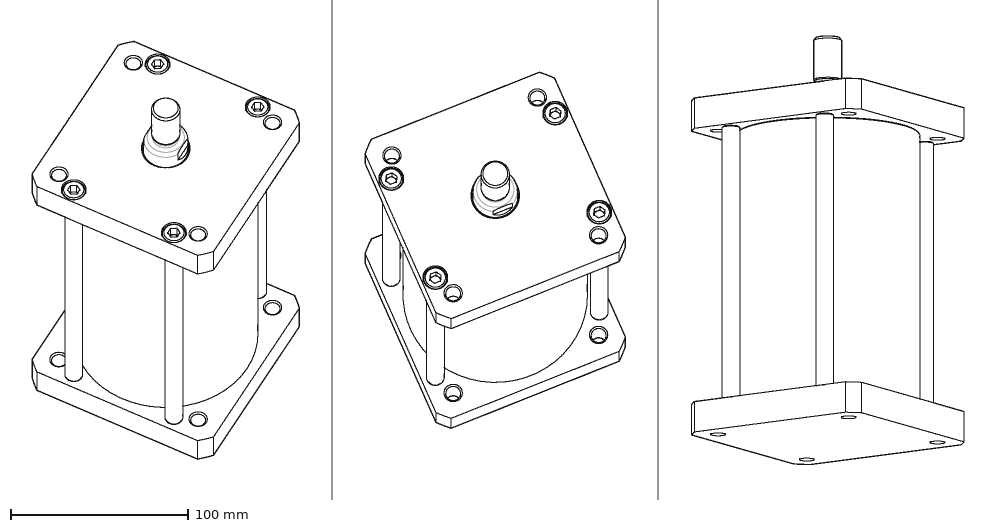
import cadquery as cq
import math

TOTAL_HEIGHT = 230.0

PLATE_WIDTH = 116.0
PLATE_THICKNESS = 17.5
PLATE_CORNER_DIAMETER = 155.0
UPPER_PLATE_TOP = 192.0
UPPER_PLATE_BOTTOM = UPPER_PLATE_TOP - PLATE_THICKNESS

MOUNT_PITCH = 89.0
MOUNT_MOUTH_DIAMETER = 10.3
MOUNT_CORE_DIAMETER = 8.38

BARREL_DIAMETER = 104.0
BARREL_TOP_CHAMFER = 0.5

TIE_PITCH_X = 64.0
TIE_PITCH_Y = 100.3
TIE_DIAMETER = 10.11
TIE_END_CHAMFER = 0.6
TIE_SHANK_DIAMETER = TIE_DIAMETER - 2 * TIE_END_CHAMFER
HEAD_DIAMETER = 13.0
HEAD_HEIGHT = 8.0
HEAD_CHAMFER = 0.8
COUNTERBORE_DIAMETER = 14.0
SOCKET_ACROSS_FLATS = 6.0
SOCKET_DEPTH = 6.0
SOCKET_POINT_HEIGHT = 1.7

COLLAR_DIAMETER = 25.0
COLLAR_TOP = UPPER_PLATE_TOP + 10.2
COLLAR_FILLET = 2.0
FLATS_WIDTH = 22.0
FLATS_BOTTOM = UPPER_PLATE_TOP + 3.0
THREAD_DIAMETER = 16.0
THREAD_TIP_DIAMETER = 14.0
TIP_CHAMFER_HEIGHT = 1.5
THREAD_BOTTOM = UPPER_PLATE_TOP + 14.0
NECK_DIAMETER = 13.2
NECK_FILLET = 0.8

BORE_DIAMETER = 25.6
BORE_RECESS_DIAMETER = 26.9
BORE_RECESS_DEPTH = 1.0
BORE_MOUTH_DIAMETER = 27.4

MOUNT_POINTS = [(sx * MOUNT_PITCH / 2, sy * MOUNT_PITCH / 2) for sx in (-1, 1) for sy in (-1, 1)]
TIE_POINTS = [(sx * TIE_PITCH_X / 2, sy * TIE_PITCH_Y / 2) for sx in (-1, 1) for sy in (-1, 1)]


def cylinder(diameter, bottom, top, center=(0, 0)):
    """Upright cylinder between two heights."""
    return cq.Workplane("XY", origin=(*center, bottom)).circle(diameter / 2).extrude(top - bottom)


def mouth_cone(mouth_diameter, core_diameter, top, center=(0, 0)):
    """45 degree countersink that opens upward at the given height."""
    depth = (mouth_diameter - core_diameter) / 2
    cone = cq.Solid.makeCone(core_diameter / 2, mouth_diameter / 2, depth)
    return cq.Workplane(cone.translate(cq.Vector(*center, top - depth)))


def plate(bottom):
    """Square end plate with turned corners and countersunk mounting holes."""
    top = bottom + PLATE_THICKNESS
    body = cq.Workplane("XY", origin=(0, 0, bottom)).rect(PLATE_WIDTH, PLATE_WIDTH).extrude(PLATE_THICKNESS)
    body = body.intersect(cylinder(PLATE_CORNER_DIAMETER, bottom, top))
    for point in MOUNT_POINTS:
        body = body.cut(cylinder(MOUNT_CORE_DIAMETER, bottom, top, point))
        body = body.cut(mouth_cone(MOUNT_MOUTH_DIAMETER, MOUNT_CORE_DIAMETER, top, point))
    return body


def make_upper_plate():
    """Rod-side plate with the recessed rod bore and the counterbored tie rod holes."""
    body = plate(UPPER_PLATE_BOTTOM)
    body = body.cut(cylinder(BORE_DIAMETER, UPPER_PLATE_BOTTOM, UPPER_PLATE_TOP))
    body = body.cut(cylinder(BORE_RECESS_DIAMETER, UPPER_PLATE_TOP - BORE_RECESS_DEPTH, UPPER_PLATE_TOP))
    body = body.cut(mouth_cone(BORE_MOUTH_DIAMETER, BORE_RECESS_DIAMETER, UPPER_PLATE_TOP))
    for point in TIE_POINTS:
        body = body.cut(cylinder(TIE_SHANK_DIAMETER, UPPER_PLATE_BOTTOM, UPPER_PLATE_TOP, point))
        body = body.cut(cylinder(COUNTERBORE_DIAMETER, UPPER_PLATE_TOP - HEAD_HEIGHT, UPPER_PLATE_TOP, point))
    return body


def make_lower_plate():
    """Closed end plate at the bottom, with the mounting holes only."""
    return plate(0)


def make_barrel():
    """Round barrel clamped between the two plates."""
    body = cylinder(BARREL_DIAMETER, PLATE_THICKNESS, UPPER_PLATE_BOTTOM)
    return body.faces(">Z").chamfer(BARREL_TOP_CHAMFER)


def make_tie_rod(point):
    """Tie rod between the plates, with a thinner shank and a hexagon socket head in the upper plate."""
    head_bottom = UPPER_PLATE_TOP - HEAD_HEIGHT
    rod = cylinder(TIE_DIAMETER, PLATE_THICKNESS, UPPER_PLATE_BOTTOM)
    rod = rod.faces("<Z or >Z").chamfer(TIE_END_CHAMFER)
    shank = cylinder(TIE_SHANK_DIAMETER, UPPER_PLATE_BOTTOM, head_bottom)
    head = cylinder(HEAD_DIAMETER, head_bottom, UPPER_PLATE_TOP).faces(">Z").chamfer(HEAD_CHAMFER)
    socket_floor = UPPER_PLATE_TOP - SOCKET_DEPTH
    socket_across_corners = SOCKET_ACROSS_FLATS / math.cos(math.pi / 6)
    socket = (
        cq.Workplane("XY", origin=(0, 0, socket_floor))
        .polygon(6, socket_across_corners)
        .extrude(SOCKET_DEPTH)
        .rotate((0, 0, 0), (0, 0, 1), 30)
    )
    drill_point = cq.Solid.makeCone(
        0, SOCKET_ACROSS_FLATS / 2, SOCKET_POINT_HEIGHT, cq.Vector(0, 0, socket_floor - SOCKET_POINT_HEIGHT)
    )
    return rod.union(shank).union(head).cut(socket).cut(cq.Workplane(drill_point)).translate((*point, 0))


def make_piston_rod():
    """Turned rod: collar, undercut neck and threaded end, with two wrench flats on the collar."""
    collar_radius = COLLAR_DIAMETER / 2
    thread_radius = THREAD_DIAMETER / 2
    tip_radius = THREAD_TIP_DIAMETER / 2
    neck_radius = NECK_DIAMETER / 2
    neck_top = THREAD_BOTTOM - (thread_radius - neck_radius - NECK_FILLET)
    bend = math.sqrt(0.5)
    rod = (
        cq.Workplane("XZ")
        .moveTo(0, UPPER_PLATE_BOTTOM)
        .lineTo(collar_radius, UPPER_PLATE_BOTTOM)
        .lineTo(collar_radius, COLLAR_TOP - COLLAR_FILLET)
        .threePointArc(
            (collar_radius - COLLAR_FILLET * (1 - bend), COLLAR_TOP - COLLAR_FILLET * (1 - bend)),
            (collar_radius - COLLAR_FILLET, COLLAR_TOP),
        )
        .lineTo(neck_radius + NECK_FILLET, COLLAR_TOP)
        .threePointArc(
            (neck_radius + NECK_FILLET * (1 - bend), COLLAR_TOP + NECK_FILLET * (1 - bend)),
            (neck_radius, COLLAR_TOP + NECK_FILLET),
        )
        .lineTo(neck_radius, neck_top - NECK_FILLET)
        .threePointArc(
            (neck_radius + NECK_FILLET * (1 - bend), neck_top - NECK_FILLET * (1 - bend)),
            (neck_radius + NECK_FILLET, neck_top),
        )
        .lineTo(thread_radius, THREAD_BOTTOM)
        .lineTo(thread_radius, TOTAL_HEIGHT - TIP_CHAMFER_HEIGHT)
        .lineTo(tip_radius, TOTAL_HEIGHT)
        .lineTo(0, TOTAL_HEIGHT)
        .close()
        .revolve(360, (0, 0, 0), (0, 1, 0))
    )
    flat_x = FLATS_WIDTH / 2
    flat_depth = collar_radius - flat_x
    flat_cut = (
        cq.Workplane("XZ")
        .moveTo(flat_x, COLLAR_TOP)
        .lineTo(flat_x, FLATS_BOTTOM)
        .lineTo(collar_radius, FLATS_BOTTOM - flat_depth)
        .lineTo(collar_radius, COLLAR_TOP)
        .close()
        .extrude(collar_radius, both=True)
    )
    return rod.cut(flat_cut).cut(flat_cut.mirror("YZ"))


upper_plate = make_upper_plate()
lower_plate = make_lower_plate()
barrel = make_barrel()
piston_rod = make_piston_rod()
tie_rods = [make_tie_rod(point) for point in TIE_POINTS]

result = cq.Compound.makeCompound([
    upper_plate.val(),
    lower_plate.val(),
    barrel.val(),
    piston_rod.val(),
    *[tie_rod.val() for tie_rod in tie_rods],
])